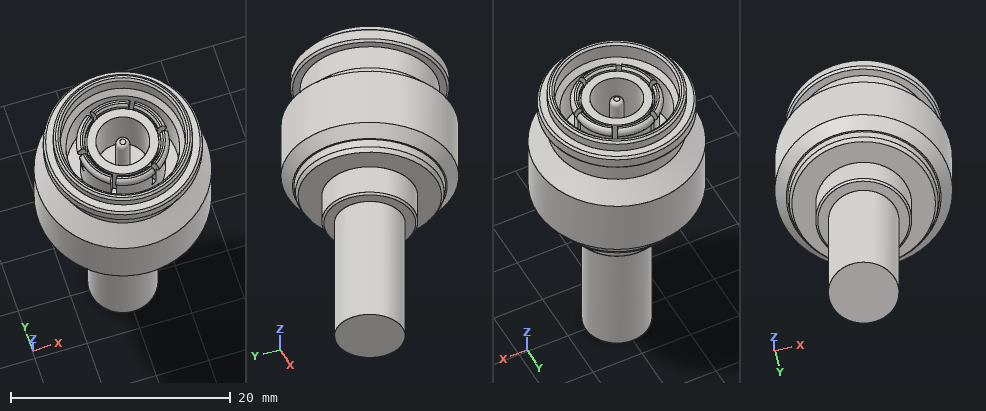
import cadquery as cq

total_height = 30.95
body_diameter = 16.2
body_radius = body_diameter / 2

rim_radius = 6.35
rim_chamfer = 0.22
flange_radius = 7.25
flange_top = 29.85
flange_bottom = 28.38
flange_chamfer = 0.22
shoulder_bottom = 24.2
shoulder_top = shoulder_bottom + body_radius - rim_radius
body_bottom = 18.32
taper_bottom = 17.27
taper_radius = body_radius - (body_bottom - taper_bottom)

ring_top_radius = 6.9
ring_edge_radius = 6.78
ring_edge_height = 16.53
ring_bottom_radius = 6.53
ring_bottom = 16.1

collar_radius = 4.35
collar_bottom = 13.0
collar_chamfer = 0.2
sleeve_radius = 3.22

mouth_radius = 5.7
mouth_chamfer = 0.22
cavity_radius = 5.17
seat_bottom = 28.63
seat_top = seat_bottom + mouth_radius - cavity_radius
cavity_floor = shoulder_bottom

collet_top = 30.18
collet_radius = 3.87
collet_lip_radius = 3.68
collet_throat_radius = 3.47
collet_funnel_bottom = 29.93
collet_gap_floor = 29.55
bead_radius = 4.25
bead_depth = 1.1
slot_count = 6
slot_width = 0.5
slot_floor = 26.62

insulator_radius = 3.28
insulator_top = 29.93
insulator_bore_radius = 2.45
pin_radius = 0.65
pin_tip_radius = 0.28
pin_tip_top = 29.8
pin_tip_bottom = 29.3


def revolve(profile):
    """Close an (r, z) profile drawn on the XZ plane and turn it about the Z axis."""
    return profile.close().revolve(360, (0, 0, 0), (0, 1, 0))


def cylinder(radius, bottom, top):
    """Solid cylinder on the Z axis between two heights."""
    return cq.Workplane("XY").workplane(offset=bottom).circle(radius).extrude(top - bottom)


def outer_body():
    """Solid outside shape: sleeve, collar, retaining ring, nut, flange and rim."""
    return revolve(
        cq.Workplane("XZ").polyline([
            (0, 0),
            (sleeve_radius, 0),
            (sleeve_radius, collar_bottom),
            (collar_radius - collar_chamfer, collar_bottom),
            (collar_radius, collar_bottom + collar_chamfer),
            (collar_radius, ring_bottom),
            (ring_bottom_radius, ring_bottom),
            (ring_edge_radius, ring_edge_height),
            (ring_top_radius, taper_bottom),
            (taper_radius, taper_bottom),
            (body_radius, body_bottom),
            (body_radius, shoulder_bottom),
            (rim_radius, shoulder_top),
            (rim_radius, flange_bottom),
            (flange_radius - flange_chamfer, flange_bottom),
            (flange_radius, flange_bottom + flange_chamfer),
            (flange_radius, flange_top - flange_chamfer),
            (flange_radius - flange_chamfer, flange_top),
            (rim_radius, flange_top),
            (rim_radius, total_height - rim_chamfer),
            (rim_radius - rim_chamfer, total_height),
            (0, total_height),
        ])
    )


def mating_cavity():
    """Void inside the nut, with a chamfered mouth and a conical seat."""
    return revolve(
        cq.Workplane("XZ").polyline([
            (0, cavity_floor),
            (cavity_radius, cavity_floor),
            (cavity_radius, seat_bottom),
            (mouth_radius, seat_top),
            (mouth_radius, total_height - mouth_chamfer),
            (mouth_radius + mouth_chamfer, total_height),
            (0, total_height),
        ])
    )


def collet():
    """Beaded sleeve split into fingers by radial slots, with a narrow gap around the insulator."""
    sleeve = revolve(
        cq.Workplane("XZ")
        .moveTo(insulator_radius, cavity_floor)
        .lineTo(collet_radius, cavity_floor)
        .lineTo(collet_radius, collet_top - bead_depth)
        .threePointArc((bead_radius, collet_top - bead_depth / 2), (collet_radius, collet_top))
        .lineTo(collet_lip_radius, collet_top)
        .lineTo(collet_throat_radius, collet_funnel_bottom)
        .lineTo(collet_throat_radius, collet_gap_floor)
        .lineTo(insulator_radius, collet_gap_floor)
    )
    slots_across = slot_count // 2
    for index in range(slots_across):
        slot = (
            cq.Workplane("XY")
            .workplane(offset=slot_floor)
            .transformed(rotate=(0, 0, index * 180 / slots_across))
            .rect(2 * cavity_radius, slot_width)
            .extrude(collet_top - slot_floor)
        )
        sleeve = sleeve.cut(slot)
    return sleeve


def insulator():
    """Plain tube between the collet and the centre pin."""
    tube = cylinder(insulator_radius, cavity_floor, insulator_top)
    return tube.cut(cylinder(insulator_bore_radius, cavity_floor, insulator_top))


def centre_pin():
    """Contact pin whose rounded nose ends in a small flat."""
    return revolve(
        cq.Workplane("XZ")
        .moveTo(0, cavity_floor)
        .lineTo(pin_radius, cavity_floor)
        .lineTo(pin_radius, pin_tip_bottom)
        .tangentArcPoint((pin_tip_radius, pin_tip_top), relative=False)
        .lineTo(0, pin_tip_top)
    )


shell = outer_body().cut(mating_cavity())
result = shell.union(collet()).union(insulator()).union(centre_pin())